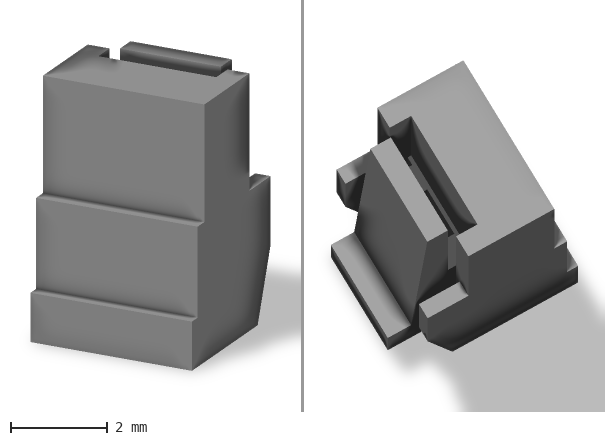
import cadquery as cq

width = 3.75
depth = 4.15
height = 5.7

lower_step_y = 0.26
lower_step_z = 1.09
upper_step_y = 0.57
shoulder_z = 3.1
tower_back_y = 2.63
cheek_back_y = 3.6
cheek_slope_top_z = 1.585
cheek_slope_bottom_y = 3.01

tower_recess_width = 2.735
cheek_gap_width = 3.03
upper_recess_y = 2.115
lower_recess_y = 2.2

lever_width = 2.35
lever_front_y = 2.715
window_back_y = 2.69
lever_top_back_y = 3.205
lever_low_back_y = 3.59
foot_height = 0.805
leg_gap = 1.12


def extrude_across(points, across):
    """Extrude a (Y, Z) outline symmetrically along X."""
    return cq.Workplane("YZ").polyline(points).close().extrude(across / 2, both=True)


def centred_block(across, front_y, back_y, bottom_z, top_z):
    """Box centred on X, spanning the given Y and Z ranges."""
    size = (across, back_y - front_y, top_z - bottom_z)
    return cq.Workplane().box(*size, centered=(True, False, False)).translate((0, front_y, bottom_z))


def make_housing():
    outline = [
        (0, 0),
        (cheek_slope_bottom_y, 0),
        (cheek_back_y, cheek_slope_top_z),
        (cheek_back_y, shoulder_z),
        (tower_back_y, shoulder_z),
        (tower_back_y, height),
        (upper_step_y, height),
        (upper_step_y, shoulder_z),
        (lower_step_y, shoulder_z),
        (lower_step_y, lower_step_z),
        (0, lower_step_z),
    ]
    housing = extrude_across(outline, width)
    housing = housing.cut(centred_block(tower_recess_width, upper_recess_y, depth, shoulder_z, height))
    housing = housing.cut(centred_block(tower_recess_width, lower_recess_y, depth, 0, shoulder_z))
    return housing.cut(centred_block(cheek_gap_width, tower_back_y, depth, 0, shoulder_z))


def make_latch():
    outline = [
        (lower_recess_y, 0),
        (depth, 0),
        (depth, foot_height),
        (lever_low_back_y, foot_height),
        (lever_top_back_y, height),
        (lever_front_y, height),
        (lever_front_y, shoulder_z),
        (lower_recess_y, shoulder_z),
    ]
    latch = extrude_across(outline, lever_width)
    return latch.cut(centred_block(leg_gap, lower_recess_y, window_back_y, 0, shoulder_z))


result = make_housing().union(make_latch())